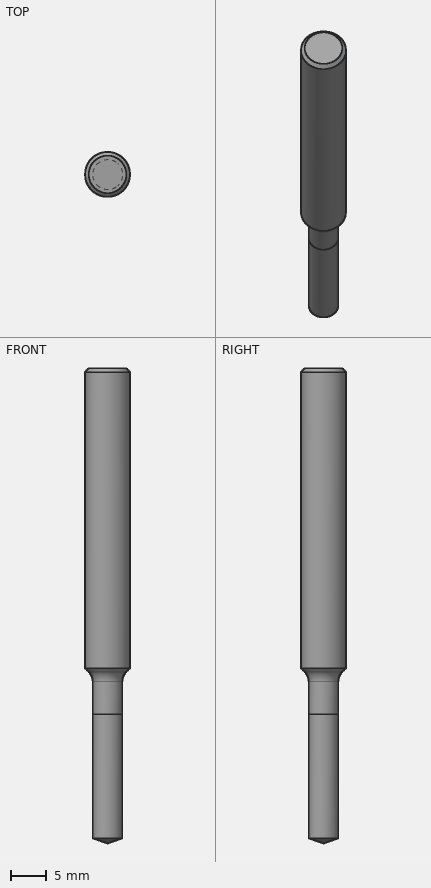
import cadquery as cq
import math

total_length = 66.7
shank_radius = 6.35 / 2
neck_radius = 4.2 / 2

point_height = 0.75
joint_height = 18.15
neck_top_height = 22.75
shoulder_height = 24.6

top_chamfer = 0.55

cone_foot_height = shoulder_height - (shank_radius - neck_radius)
blend_reach = cone_foot_height - neck_top_height
blend_offset = blend_reach * math.sin(math.radians(45))


def make_holder():
    """Shank with a chamfered top, a blended conical shoulder and a short neck."""
    profile = (
        cq.Workplane("XZ")
        .moveTo(0, joint_height)
        .lineTo(-neck_radius, joint_height)
        .lineTo(-neck_radius, neck_top_height)
        .tangentArcPoint((-blend_offset, blend_reach + blend_offset))
        .lineTo(-shank_radius, shoulder_height)
        .lineTo(-shank_radius, total_length - top_chamfer)
        .lineTo(-shank_radius + top_chamfer, total_length)
        .lineTo(0, total_length)
        .close()
    )
    return profile.revolve(360, (0, 0), (0, 1))


def make_cutting_tip():
    """Cylindrical tip with a shallow conical point, butted against the neck."""
    profile = (
        cq.Workplane("YZ")
        .lineTo(-neck_radius, point_height)
        .lineTo(-neck_radius, joint_height)
        .lineTo(0, joint_height)
        .close()
    )
    return profile.revolve(360, (0, 0), (0, 1))


holder = make_holder()
cutting_tip = make_cutting_tip()

result = cq.Compound.makeCompound([holder.val(), cutting_tip.val()])